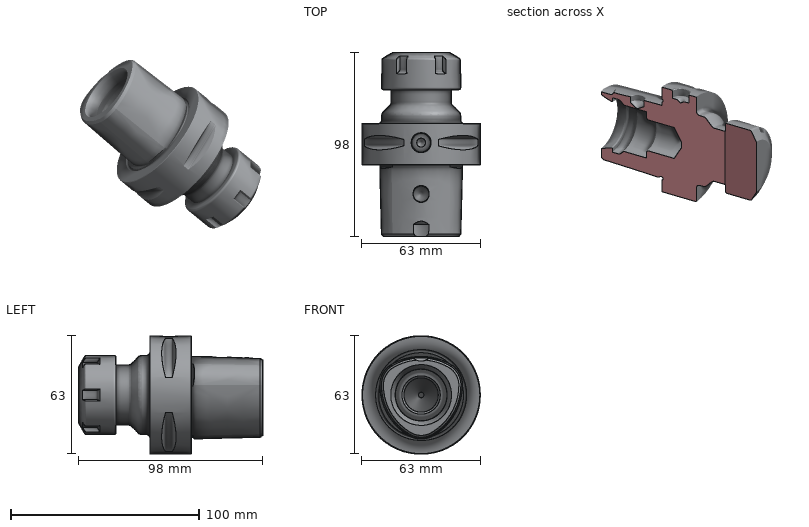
import cadquery as cq
import math


SHANK_END = -38.0
TAPER_START = -2.1
FLANGE_LENGTH = 22.05
BOSS_CONE_END = 32.4
NUT_REAR = 40.1
NUT_FRONT = 60.0

FLANGE_RADIUS = 63.0 / 2
FLANGE_CHAMFER = 0.3
BOSS_RADIUS = 21.1
BOSS_ROOT_FILLET = 2.0
BOSS_EDGE_FILLET = 2.9
NECK_RADIUS = 16.1
NECK_FILLET = 1.6

LOBE_ORBIT = 10.6
LOBE_RADIUS = 12.8
TAPER_PER_SIDE = 0.025
TIP_CHAMFER_LENGTH = 1.5
TIP_CHAMFER_WIDTH = 1.1
RELIEF_RADIUS = 22.5
RELIEF_LENGTH = 0.9
FACE_GROOVE_WIDTH = 1.7

MOUTH_RADIUS = 16.2
LEAD_RADIUS = 15.3
LEAD_LENGTH = 2.0
THROAT_RADIUS = 13.8
THROAT_START = -31.7
THROAT_LENGTH = 1.0
CLAMP_GROOVE_RADIUS = 16.2
CLAMP_GROOVE_FILLET = 2.9
CLAMP_RAMP_END = -23.9
BORE_RADIUS = 13.7
BORE_FLOOR = -9.8
THREAD_MOUTH_RADIUS = 10.2
THREAD_RADIUS = 9.1
THREAD_END = 7.8
DRILL_FLAT_RADIUS = 1.5
DRILL_TIP_HALF_ANGLE = math.radians(59)

GRIPPER_STATION = 12.0
GRIPPER_FLOOR_DISTANCE = 27.8
GRIPPER_FLOOR_WIDTH = 3.4
GRIPPER_FLANK_ANGLE = math.radians(30)
GRIPPER_FLOOR_FILLET = 0.4
CHIP_HOLE_RADIUS = 5.0
CHIP_HOLE_FLOOR = 26.7
CHIP_CENTRE_RADIUS = 2.4
SHANK_HOLE_STATION = -15.4
SHANK_HOLE_RADIUS = 4.2
SHANK_HOLE_TIP = 14.1
HOLE_CHAMFER = 0.3
CHIP_HOLE_CHAMFER_START = 30.8
SHANK_HOLE_CHAMFER_START = 19.9
KEY_NOTCH_RADIUS = 6.4
KEY_NOTCH_FLOOR = 18.0
KEY_NOTCH_END = -31.7
KEY_NOTCH_TIP_ANGLE = math.radians(45)

NUT_RADIUS = 21.1
NUT_FRONT_RADIUS = 15.0
NUT_CONE_ANGLE = math.radians(30)
NUT_FRONT_FILLET = 1.2
NUT_REAR_FILLET = 1.1
NUT_SLOT_COUNT = 6
NUT_SLOT_FLOOR = 18.4
NUT_SLOT_FLOOR_WIDTH = 4.9
NUT_SLOT_MOUTH_WIDTH = 6.5
NUT_SLOT_MOUTH_END = 48.5
NUT_SLOT_END_ANGLE = math.radians(30)
NUT_SLOT_END_FILLET = 1.3

CUT_MARGIN = 4.9
TOLERANCE = 0.01


def turned(points):
    """Revolve a closed (radius, y) outline about the Y axis."""
    return cq.Workplane("XY").polyline(points).close().revolve(360, (0, 0, 0), (0, 1, 0))


def upright_turned(points, station):
    """Revolve a closed (radius, z) outline about a vertical axis crossing the Y axis at station."""
    outline = cq.Workplane("XZ").polyline(points).close()
    return outline.revolve(360, (0, 0, 0), (0, 1, 0)).translate((0, station, 0))


def rim(body, radius, y):
    """The circular edge of the given radius, centred on the Y axis at y."""

    def matches(edge):
        if edge.geomType() != "CIRCLE":
            return False
        centre = edge.arcCenter()
        on_axis = math.hypot(centre.x, centre.z) < TOLERANCE
        return on_axis and abs(centre.y - y) < TOLERANCE and abs(edge.radius() - radius) < TOLERANCE

    return body.edges().filter(matches)


def turned_holder():
    cone_start = BOSS_CONE_END - (BOSS_RADIUS - NECK_RADIUS)
    body = turned([
        (0, 0),
        (FLANGE_RADIUS, 0),
        (FLANGE_RADIUS, FLANGE_LENGTH),
        (BOSS_RADIUS, FLANGE_LENGTH),
        (BOSS_RADIUS, cone_start),
        (NECK_RADIUS, BOSS_CONE_END),
        (NECK_RADIUS, NUT_REAR),
        (0, NUT_REAR),
    ])
    body = rim(body, FLANGE_RADIUS, 0).chamfer(FLANGE_CHAMFER)
    body = rim(body, BOSS_RADIUS, FLANGE_LENGTH).fillet(BOSS_ROOT_FILLET)
    body = rim(body, BOSS_RADIUS, cone_start).fillet(BOSS_EDGE_FILLET)
    return rim(body, NECK_RADIUS, BOSS_CONE_END).fillet(NECK_FILLET)


def lobed_wire(y, inset):
    """Three lobe arcs joined by three tangent flank arcs, at y, moved inward by inset."""
    lobe = LOBE_RADIUS - inset
    flank = LOBE_RADIUS + math.sqrt(3) * LOBE_ORBIT - inset

    def point(centre_angle, radius, angle):
        c = math.radians(centre_angle)
        a = math.radians(angle)
        return cq.Vector(
            LOBE_ORBIT * math.cos(c) + radius * math.cos(a),
            y,
            LOBE_ORBIT * math.sin(c) + radius * math.sin(a),
        )

    edges = []
    for lobe_angle in (30, 150, 270):
        opposite = lobe_angle + 60
        arcs = ((lobe_angle, lobe, lobe_angle), (opposite + 180, flank, opposite))
        for centre, radius, middle in arcs:
            ends = [point(centre, radius, middle + side * 30) for side in (-1, 0, 1)]
            edges.append(cq.Edge.makeThreePointArc(*ends))
    return cq.Wire.assembleEdges(edges)


def lobed_shank():
    chamfer_y = SHANK_END + TIP_CHAMFER_LENGTH
    taper_inset = (TAPER_START - chamfer_y) * TAPER_PER_SIDE
    sections = (
        (0, 0),
        (TAPER_START, 0),
        (chamfer_y, taper_inset),
        (SHANK_END, taper_inset + TIP_CHAMFER_WIDTH),
    )
    wires = [lobed_wire(y, inset) for y, inset in sections]
    return cq.Workplane(cq.Solid.makeLoft(wires, True))


def relief_ring():
    """Material turned off the lobes between the flange face and the taper, with a 45 degree end."""
    clear_radius = RELIEF_RADIUS + CUT_MARGIN
    clear_width = -TAPER_START - RELIEF_LENGTH
    return turned([
        (RELIEF_RADIUS, 0),
        (RELIEF_RADIUS, -RELIEF_LENGTH),
        (RELIEF_RADIUS + clear_width, TAPER_START),
        (clear_radius, TAPER_START),
        (clear_radius, 0),
    ])


def face_groove():
    half_width = FACE_GROOVE_WIDTH / 2
    section = cq.Workplane("XY").center(RELIEF_RADIUS + half_width, 0).circle(half_width)
    axis_offset = -RELIEF_RADIUS - half_width
    return section.revolve(360, (axis_offset, 0, 0), (axis_offset, 1, 0))


def bore():
    lead_start = SHANK_END + LEAD_LENGTH
    throat_end = THROAT_START + THROAT_LENGTH
    thread_chamfer = THREAD_MOUTH_RADIUS - THREAD_RADIUS
    tip_length = (THREAD_RADIUS - DRILL_FLAT_RADIUS) / math.tan(DRILL_TIP_HALF_ANGLE)
    ramp_start = CLAMP_RAMP_END - (CLAMP_GROOVE_RADIUS - BORE_RADIUS)
    body = turned([
        (0, SHANK_END),
        (MOUTH_RADIUS, SHANK_END),
        (LEAD_RADIUS, lead_start),
        (THROAT_RADIUS, THROAT_START),
        (THROAT_RADIUS, throat_end),
        (CLAMP_GROOVE_RADIUS, throat_end),
        (CLAMP_GROOVE_RADIUS, ramp_start),
        (BORE_RADIUS, CLAMP_RAMP_END),
        (BORE_RADIUS, BORE_FLOOR),
        (THREAD_MOUTH_RADIUS, BORE_FLOOR),
        (THREAD_RADIUS, BORE_FLOOR + thread_chamfer),
        (THREAD_RADIUS, THREAD_END),
        (DRILL_FLAT_RADIUS, THREAD_END + tip_length),
        (0, THREAD_END + tip_length),
    ])
    return rim(body, CLAMP_GROOVE_RADIUS, ramp_start).fillet(CLAMP_GROOVE_FILLET)


def gripper_groove(angle):
    """V-flanked groove with a flat floor, cut along a chord of the flange."""
    depth = FLANGE_RADIUS + CUT_MARGIN - GRIPPER_FLOOR_DISTANCE
    half_floor = GRIPPER_FLOOR_WIDTH / 2
    half_mouth = half_floor + depth * math.tan(GRIPPER_FLANK_ANGLE)
    top = GRIPPER_FLOOR_DISTANCE + depth
    section = cq.Workplane("XY").polyline([
        (GRIPPER_FLOOR_DISTANCE, GRIPPER_STATION - half_floor),
        (GRIPPER_FLOOR_DISTANCE, GRIPPER_STATION + half_floor),
        (top, GRIPPER_STATION + half_mouth),
        (top, GRIPPER_STATION - half_mouth),
    ]).close()
    cutter = section.extrude(FLANGE_RADIUS, both=True)
    cutter = cutter.faces("<X").edges("|Z").fillet(GRIPPER_FLOOR_FILLET)
    return cutter.rotate((0, 0, 0), (0, 1, 0), angle)


def chip_hole():
    """Flat-bottomed hole in the flange rim, with a centre mark in its floor."""
    top = FLANGE_RADIUS + CUT_MARGIN
    tip_length = CHIP_CENTRE_RADIUS / math.tan(DRILL_TIP_HALF_ANGLE)
    return upright_turned([
        (0, CHIP_HOLE_FLOOR - tip_length),
        (CHIP_CENTRE_RADIUS, CHIP_HOLE_FLOOR),
        (CHIP_HOLE_RADIUS, CHIP_HOLE_FLOOR),
        (CHIP_HOLE_RADIUS, CHIP_HOLE_CHAMFER_START),
        (CHIP_HOLE_RADIUS + HOLE_CHAMFER, CHIP_HOLE_CHAMFER_START + HOLE_CHAMFER),
        (CHIP_HOLE_RADIUS + HOLE_CHAMFER, top),
        (0, top),
    ], GRIPPER_STATION)


def shank_hole():
    """Blind drilled hole in the flat flank of the taper."""
    top = SHANK_HOLE_TIP + SHANK_HOLE_RADIUS + CUT_MARGIN
    tip_length = SHANK_HOLE_RADIUS / math.tan(DRILL_TIP_HALF_ANGLE)
    return upright_turned([
        (0, SHANK_HOLE_TIP),
        (SHANK_HOLE_RADIUS, SHANK_HOLE_TIP + tip_length),
        (SHANK_HOLE_RADIUS, SHANK_HOLE_CHAMFER_START),
        (SHANK_HOLE_RADIUS + HOLE_CHAMFER, SHANK_HOLE_CHAMFER_START + HOLE_CHAMFER),
        (SHANK_HOLE_RADIUS + HOLE_CHAMFER, top),
        (0, top),
    ], SHANK_HOLE_STATION)


def key_notch():
    """Round notch with a conical end, open at the shank tip, cut parallel to the Y axis."""
    tip_length = KEY_NOTCH_RADIUS / math.tan(KEY_NOTCH_TIP_ANGLE)
    axis_height = KEY_NOTCH_FLOOR + KEY_NOTCH_RADIUS
    return turned([
        (0, SHANK_END),
        (KEY_NOTCH_RADIUS, SHANK_END),
        (KEY_NOTCH_RADIUS, KEY_NOTCH_END),
        (0, KEY_NOTCH_END + tip_length),
    ]).translate((0, 0, axis_height))


def make_holder():
    body = turned_holder().union(lobed_shank().cut(relief_ring()))
    body = body.cut(face_groove()).cut(bore())
    for quadrant in range(4):
        body = body.cut(gripper_groove(45 + 90 * quadrant))
    return body.cut(chip_hole()).cut(shank_hole()).cut(key_notch())


def nut_blank():
    cone_length = (NUT_RADIUS - NUT_FRONT_RADIUS) * math.tan(NUT_CONE_ANGLE)
    cone_start = NUT_FRONT - cone_length
    body = turned([
        (0, NUT_REAR),
        (NUT_RADIUS, NUT_REAR),
        (NUT_RADIUS, cone_start),
        (NUT_FRONT_RADIUS, NUT_FRONT),
        (0, NUT_FRONT),
    ])
    body = rim(body, NUT_RADIUS, NUT_REAR).fillet(NUT_REAR_FILLET)
    return rim(body, NUT_RADIUS, cone_start).fillet(NUT_FRONT_FILLET)


def nut_slot(angle):
    """Spanner slot with sloping sides and a sloping, filleted end, open at the nut front."""
    depth = NUT_RADIUS - NUT_SLOT_FLOOR
    top = NUT_RADIUS + CUT_MARGIN
    front = NUT_FRONT + CUT_MARGIN
    end_slope = math.tan(NUT_SLOT_END_ANGLE)
    floor_end = NUT_SLOT_MOUTH_END + depth * end_slope
    lengthwise = (
        cq.Workplane("XY")
        .polyline([
            (NUT_SLOT_FLOOR, front),
            (NUT_SLOT_FLOOR, floor_end),
            (top, floor_end - (top - NUT_SLOT_FLOOR) * end_slope),
            (top, front),
        ])
        .close()
        .extrude(NUT_RADIUS, both=True)
        .edges(cq.selectors.NearestToPointSelector((NUT_SLOT_FLOOR, floor_end, 0)))
        .fillet(NUT_SLOT_END_FILLET)
    )
    half_floor = NUT_SLOT_FLOOR_WIDTH / 2
    side_slope = (NUT_SLOT_MOUTH_WIDTH - NUT_SLOT_FLOOR_WIDTH) / 2 / depth
    half_top = half_floor + (top - NUT_SLOT_FLOOR) * side_slope
    crosswise = (
        cq.Workplane("XZ")
        .polyline([
            (NUT_SLOT_FLOOR, -half_floor),
            (NUT_SLOT_FLOOR, half_floor),
            (top, half_top),
            (top, -half_top),
        ])
        .close()
        .extrude(-front)
    )
    return lengthwise.intersect(crosswise).rotate((0, 0, 0), (0, 1, 0), angle)


def make_nut():
    body = nut_blank()
    for index in range(NUT_SLOT_COUNT):
        body = body.cut(nut_slot(index * 360 / NUT_SLOT_COUNT))
    return body


holder = make_holder()
nut = make_nut()
result = cq.Compound.makeCompound([holder.val(), nut.val()])